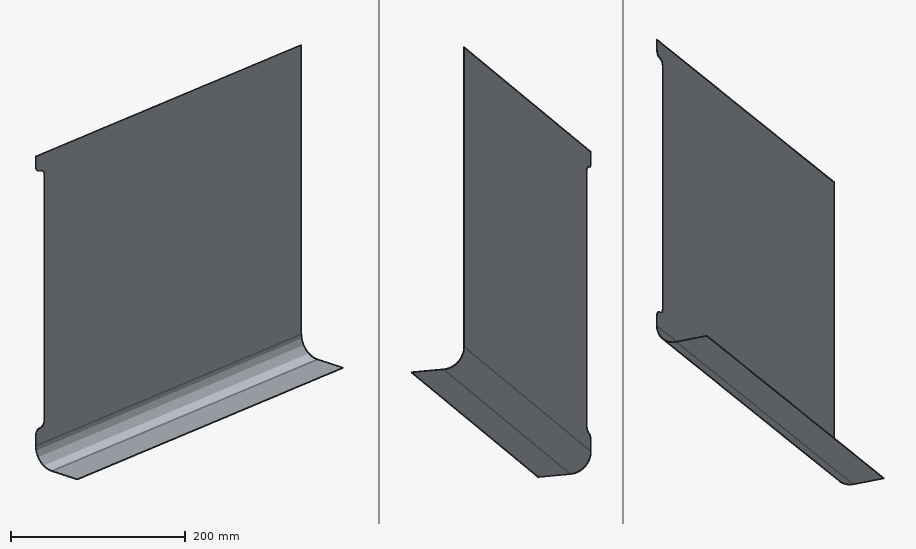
import cadquery as cq

depth = 64.05
width = 459.75
height = 382.1

thickness = 0.8
bend_outer_radius = 25.0
bend_inner_radius = bend_outer_radius - thickness

relief_depth = 15.0
tab_height = 20.0
corner_radius = relief_depth / 2
relief_bottom = bend_outer_radius + tab_height
relief_top = height - tab_height


def make_bent_sheet():
    """L-shaped sheet: upright panel at X = 0, flange at Z = 0, one round bend."""
    outer_edge = (
        cq.Workplane("XZ")
        .moveTo(0, height)
        .lineTo(0, bend_outer_radius)
        .radiusArc((bend_outer_radius, 0), -bend_outer_radius)
        .lineTo(depth, 0)
    )
    profile = (
        outer_edge
        .lineTo(depth, thickness)
        .lineTo(bend_outer_radius, thickness)
        .radiusArc((thickness, bend_outer_radius), bend_inner_radius)
        .lineTo(thickness, height)
        .close()
    )
    return profile.extrude(-width)


def make_relief_cutter():
    """Recess in the -Y edge of the panel, with an S-shaped shoulder at each end."""
    mid_depth = relief_depth - corner_radius
    return (
        cq.Workplane("YZ")
        .moveTo(0, relief_bottom - corner_radius)
        .radiusArc((mid_depth, relief_bottom), corner_radius)
        .radiusArc((relief_depth, relief_bottom + corner_radius), -corner_radius)
        .lineTo(relief_depth, relief_top - corner_radius)
        .radiusArc((mid_depth, relief_top), -corner_radius)
        .radiusArc((0, relief_top + corner_radius), corner_radius)
        .close()
        .extrude(thickness)
    )


result = make_bent_sheet().cut(make_relief_cutter())